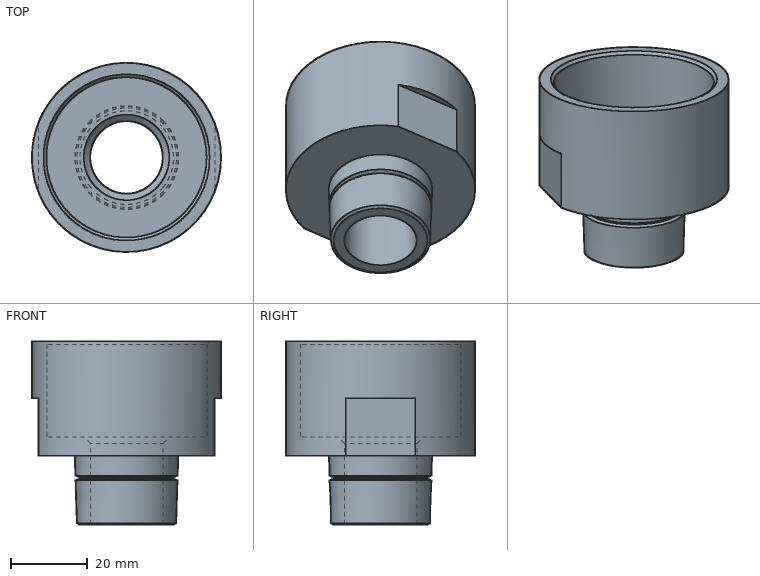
import cadquery as cq

body_diameter = 49.5
body_radius = body_diameter / 2
body_height = 30.0
cavity_radius = 20.95
cavity_depth = 25.0
mouth_chamfer = 0.8

flats_width = 46.1
flats_height = body_height / 2

spigot_length = 18.0
spigot_top_radius = 13.55
taper = 1 / 32
tip_chamfer_width = 0.8
tip_chamfer_height = 0.4

groove_start = 5.15
groove_width = 1.3
groove_floor_radius = 12.3
groove_bevel_height = 0.45

bore_radius = 9.45
bore_chamfer = 1.75

total_height = spigot_length + body_height
floor_z = total_height - cavity_depth


def spigot_radius(depth):
    """Radius of the tapered spigot at a distance below the body."""
    return spigot_top_radius - taper * depth


def make_turned_part():
    """Revolve the half section of body, spigot, cavity and bore."""
    groove_end = groove_start + groove_width
    tip_edge_depth = spigot_length - tip_chamfer_height
    section = [
        (bore_radius, 0),
        (spigot_radius(tip_edge_depth) - tip_chamfer_width, 0),
        (spigot_radius(tip_edge_depth), tip_chamfer_height),
        (spigot_radius(groove_end), spigot_length - groove_end),
        (groove_floor_radius, spigot_length - groove_end + groove_bevel_height),
        (groove_floor_radius, spigot_length - groove_start - groove_bevel_height),
        (spigot_radius(groove_start), spigot_length - groove_start),
        (spigot_top_radius, spigot_length),
        (body_radius, spigot_length),
        (body_radius, total_height),
        (cavity_radius + mouth_chamfer, total_height),
        (cavity_radius, total_height - mouth_chamfer),
        (cavity_radius, floor_z),
        (bore_radius + bore_chamfer, floor_z),
        (bore_radius, floor_z - bore_chamfer),
    ]
    return cq.Workplane("XZ").polyline(section).close().revolve(360, (0, 0, 0), (0, 1, 0))


def cut_wrench_flats(part):
    """Cut two parallel flats facing -X and +X."""
    cutter_thickness = body_radius
    for side in (-1, 1):
        cutter = (
            cq.Workplane("XY")
            .box(cutter_thickness, body_diameter, flats_height, centered=(True, True, False))
            .translate((side * (flats_width + cutter_thickness) / 2, 0, spigot_length))
        )
        part = part.cut(cutter)
    return part


result = cut_wrench_flats(make_turned_part())